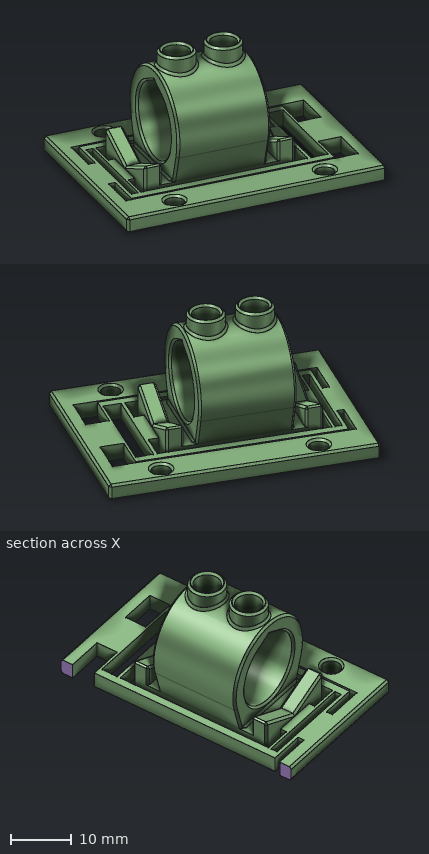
import cadquery as cq
import math

plate_width = 33.8
plate_length = 47.04
plate_thickness = 2.95
chamfer = 0.4

hole_diameter = 3.4
countersink_angle = 90
hole_spacing_x = 27.9
hole_spacing_y = 27.3

window_width = 21.75
window_length = 42.2
frame_width = 21.0
frame_opening_width = 18.0
tab_width = 8.0
frame_back_y = 17.0
back_slot = (13.4, 16.5)
back_opening_y = 12.75
front_opening_y = -17.5
front_slot = (-19.25, -18.0)
frame_front_y = -19.9

platform_width = 15.9
platform_length = 27.25
platform_y = -2.7
block_length = 3.1
valley_height = 3.4
block_slope = 24.0

ring_radius = 9.75
bore_radius = 6.8
bore_roof_slope = 25.0
ring_length = 16.9
axis_height = 10.65

boss_diameter = 6.5
boss_hole_diameter = 4.7
boss_spacing = 8.5
total_height = 23.11


def plate_bar(x_size, y_low, y_high):
    """Box through the full plate thickness, centred on X."""
    box = cq.Workplane("XY").box(x_size, y_high - y_low, plate_thickness, centered=(True, True, False))
    return box.translate((0, (y_low + y_high) / 2, 0))


def make_plate():
    plate = cq.Workplane("XY").box(plate_width, plate_length, plate_thickness, centered=(True, True, False))
    plate = plate.edges().chamfer(chamfer)
    plate = plate.faces(">Z").workplane().rect(hole_spacing_x, hole_spacing_y, forConstruction=True)
    plate = plate.vertices().cskHole(hole_diameter, hole_diameter + 2 * chamfer, countersink_angle)
    return plate.cut(plate_bar(window_width, -window_length / 2, window_length / 2))


def make_flexure():
    """Thin frame hung from the plate by two tabs, holding the platform on two more tabs."""
    frame = plate_bar(frame_width, frame_front_y, frame_back_y)
    frame = frame.cut(plate_bar(frame_opening_width, front_opening_y, back_opening_y))
    frame = frame.union(plate_bar(tab_width, -window_length / 2, window_length / 2))
    for y_low, y_high in (front_slot, back_slot):
        frame = frame.cut(plate_bar(frame_opening_width, y_low, y_high))
    platform_front = platform_y - platform_length / 2
    platform = plate_bar(platform_width, platform_front, platform_front + platform_length)
    return frame.union(platform.edges("|Z").chamfer(chamfer))


def make_v_block(y_center):
    """Chamfered block whose top is a V-shaped saddle standing on the platform."""
    half_width = platform_width / 2
    block_top = valley_height + half_width * math.tan(math.radians(block_slope))
    block = (
        cq.Workplane("XZ", origin=(0, y_center + block_length / 2, 0))
        .moveTo(-half_width, plate_thickness)
        .lineTo(half_width, plate_thickness)
        .lineTo(half_width, block_top)
        .lineTo(0, valley_height)
        .lineTo(-half_width, block_top)
        .close()
        .extrude(block_length)
    )
    valley_line = cq.selectors.BoxSelector(
        (-chamfer, y_center - chamfer, valley_height - chamfer),
        (chamfer, y_center + chamfer, valley_height + chamfer),
    )
    above_platform = cq.StringSyntaxSelector("not <Z")
    return block.edges(cq.selectors.SubtractSelector(above_platform, valley_line)).chamfer(chamfer)


def tangent_point():
    """Point where the right flank, rising from the platform edge, touches the ring circle."""
    corner_x = platform_width / 2
    drop = axis_height - plate_thickness
    corner_angle = math.atan2(-drop, corner_x)
    angle = corner_angle + math.acos(ring_radius / math.hypot(corner_x, drop))
    return ring_radius * math.cos(angle), axis_height + ring_radius * math.sin(angle)


def make_ring_body():
    half_width = platform_width / 2
    tangent_x, tangent_z = tangent_point()
    body = (
        cq.Workplane("XZ", origin=(0, platform_y + ring_length / 2, 0))
        .moveTo(-half_width, plate_thickness)
        .lineTo(half_width, plate_thickness)
        .lineTo(tangent_x, tangent_z)
        .threePointArc((0, axis_height + ring_radius), (-tangent_x, tangent_z))
        .close()
        .extrude(ring_length)
    )
    return body.cut(make_bore()).faces("|Y").edges("not <Z").chamfer(chamfer)


def make_bore():
    """Teardrop prism along Y: a circle closed at the top by two straight roof planes."""
    slope = math.radians(bore_roof_slope)
    tangent_x = bore_radius * math.sin(slope)
    tangent_z = bore_radius * math.cos(slope)
    return (
        cq.Workplane("XZ", origin=(0, platform_y + ring_length / 2, axis_height))
        .moveTo(tangent_x, tangent_z)
        .lineTo(0, bore_radius / math.cos(slope))
        .lineTo(-tangent_x, tangent_z)
        .threePointArc((0, -bore_radius), (tangent_x, tangent_z))
        .close()
        .extrude(ring_length)
    )


def boss_cylinder(y_center, diameter):
    """Cylinder along Z from the ring axis to the top of the bosses."""
    plane = cq.Workplane("XY", origin=(0, y_center, axis_height))
    return plane.circle(diameter / 2).extrude(total_height - axis_height)


def add_bosses(ring):
    """Tubes open into the bore, with a chamfered foot and both rim edges chamfered."""
    boss_centers = (platform_y - boss_spacing / 2, platform_y + boss_spacing / 2)
    for y_center in boss_centers:
        ring = ring.union(boss_cylinder(y_center, boss_diameter).cut(make_bore()))
    ring = ring.edges("%BSPLINE").chamfer(chamfer)
    for y_center in boss_centers:
        ring = ring.cut(boss_cylinder(y_center, boss_hole_diameter))
    return ring.faces(">Z").edges().chamfer(chamfer)


def chamfer_ring_foot(part):
    """Chamfer the two inner corners where the end faces of the ring meet the platform."""
    reach = ring_length / 2 + chamfer / 2
    foot_edges = part.edges(
        cq.selectors.BoxSelector(
            (-chamfer, platform_y - reach, plate_thickness - chamfer / 2),
            (chamfer, platform_y + reach, plate_thickness + chamfer / 2),
        )
    )
    return foot_edges.chamfer(chamfer)


result = make_plate().union(make_flexure()).union(add_bosses(make_ring_body()))
result = chamfer_ring_foot(result)
block_offset = (platform_length - block_length) / 2
for block_y in (platform_y - block_offset, platform_y + block_offset):
    result = result.union(make_v_block(block_y))